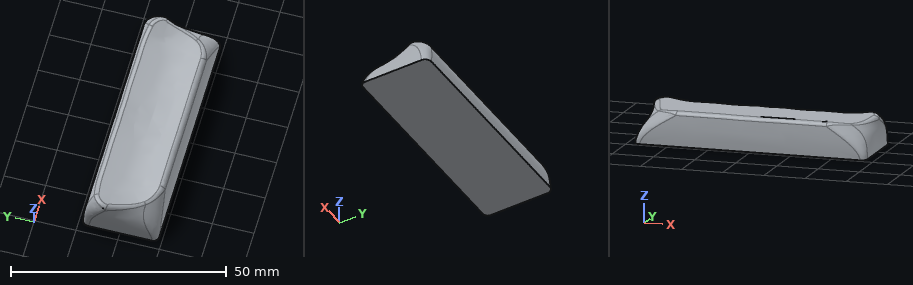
import cadquery as cq

LENGTH = 56.45
WIDTH = 18.4
STRAIGHT_HALF = 18.95
RIM_FILLET = 1.15
SIDE_TOP = 9.05

WALL_SECTIONS = [
    (0.0, WIDTH / 2, -WIDTH / 2, LENGTH / 2, LENGTH / 2, 1.7, 1.4),
    (2.8, 9.05, -9.05, 28.25, 27.4, 2.0, 2.55),
    (5.1, 8.6, -8.7, 28.5, 25.5, 2.35, 4.25),
    (6.75, 7.75, -8.35, 28.8, 22.85, 2.8, 5.35),
    (SIDE_TOP, 5.9, -7.7, 29.05, 19.2, 3.4, 6.2),
]

DISH_FRONT_Y = -6.55
DISH_CENTRE_Y = 0.0
DISH_BACK_Y = 6.2
DISH_SECTIONS = [
    (STRAIGHT_HALF, 8.0, 6.9, 7.05),
    (22.6, 7.9, 7.05, 7.5),
    (25.95, 7.8, 7.45, 8.35),
    (29.35, 7.7, 7.95, 9.35),
]
STRAIGHT_STATIONS = 7
STRAIGHT_STATION_REACH = 16.95
CUTTER_HALF_WIDTH = 11.3
CUTTER_TOP = 16.95


def wall_outline(height, back_y, front_y, back_x, front_x, back_radius, front_radius):
    """Closed four-sided outline with rounded corners at one height."""
    corners = [(-back_x, back_y), (back_x, back_y), (front_x, front_y), (-front_x, front_y)]
    outline = cq.Wire.makePolygon([cq.Vector(x, y, height) for x, y in corners], close=True)
    back_corners = [v for v in outline.Vertices() if v.Y > 0]
    outline = outline.fillet2D(back_radius, back_corners)
    front_corners = [v for v in outline.Vertices() if v.Y < front_y / 2]
    return outline.fillet2D(front_radius, front_corners)


def parabola_height(y, points):
    """Height at y of the parabola through three (y, height) points."""
    (y0, z0), (y1, z1), (y2, z2) = points
    slope = (z1 - z0) / (y1 - y0)
    bend = ((z2 - z1) / (y2 - y1) - slope) / (y2 - y0)
    return z0 + slope * (y - y0) + bend * (y - y0) * (y - y1)


def dish_outline(x, front_z, centre_z, back_z):
    """Region above the dish floor in the YZ plane at one X position."""
    places = [(DISH_FRONT_Y, front_z), (DISH_CENTRE_Y, centre_z), (DISH_BACK_Y, back_z)]
    half = CUTTER_HALF_WIDTH
    floor_ys = [-half, -half / 2, 0, half / 2, half]
    floor = [cq.Vector(x, y, parabola_height(y, places)) for y in floor_ys]
    front_top = cq.Vector(x, -half, CUTTER_TOP)
    back_top = cq.Vector(x, half, CUTTER_TOP)
    return cq.Wire.assembleEdges([
        cq.Edge.makeSpline(floor),
        cq.Edge.makeLine(floor[-1], back_top),
        cq.Edge.makeLine(back_top, front_top),
        cq.Edge.makeLine(front_top, floor[0]),
    ])


def make_dish_cutter():
    """Trough that runs straight along the middle and rises at the back of both ends."""
    middle_heights = DISH_SECTIONS[0][1:]
    spacing = 2 * STRAIGHT_STATION_REACH / (STRAIGHT_STATIONS - 1)
    left_end = [dish_outline(-x, *heights) for x, *heights in reversed(DISH_SECTIONS)]
    middle = [
        dish_outline(i * spacing - STRAIGHT_STATION_REACH, *middle_heights)
        for i in range(STRAIGHT_STATIONS)
    ]
    right_end = [dish_outline(x, *heights) for x, *heights in DISH_SECTIONS]
    return cq.Solid.makeLoft(left_end + middle + right_end)


walls = cq.Solid.makeLoft([wall_outline(*section) for section in WALL_SECTIONS])
body = cq.Workplane(walls).cut(cq.Workplane(make_dish_cutter()))

dish_floor = max(body.faces().vals(), key=lambda face: face.Center().z)
result = cq.Workplane(body.val().fillet(RIM_FILLET, dish_floor.Edges()))